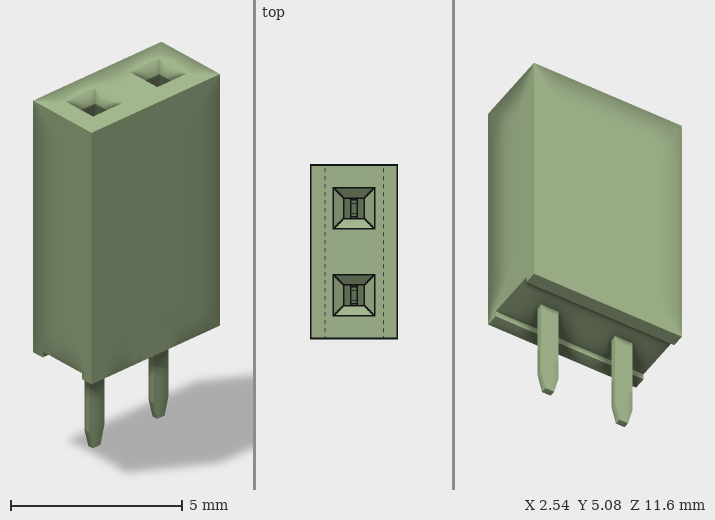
import cadquery as cq


PITCH = 2.54
POSITIONS = 2
BODY_WIDTH = PITCH
BODY_LENGTH = PITCH * POSITIONS
BODY_HEIGHT = 8.5
CHANNEL_WIDTH = 1.7
CHANNEL_HEIGHT = 0.2

FUNNEL_MOUTH = 1.2
BORE_SIZE = 0.6
FUNNEL_DEPTH = (FUNNEL_MOUTH - BORE_SIZE) / 2
BORE_FLOOR_Z = 2.5
SLOT_FLOOR_LENGTH = 0.49
SLOT_DEPTH = (BORE_SIZE - SLOT_FLOOR_LENGTH) / 2

PIN_THICKNESS = 0.2
PIN_WIDTH = 0.6
PIN_TIP_WIDTH = 0.3
PIN_TAPER_LENGTH = 0.6
PIN_PROJECTION = 3.1

position_centres = [(i - (POSITIONS - 1) / 2) * PITCH for i in range(POSITIONS)]


def make_body():
    """Rectangular block with a channel along Y that leaves two feet underneath."""
    block = cq.Workplane("XY").box(BODY_WIDTH, BODY_LENGTH, BODY_HEIGHT, centered=(True, True, False))
    channel = cq.Workplane("XY").box(CHANNEL_WIDTH, BODY_LENGTH, CHANNEL_HEIGHT, centered=(True, True, False))
    return block.cut(channel)


def make_flat_taper(top_z, top_width, bottom_z, bottom_width):
    """Strip of pin thickness, centred on Z, whose Y width changes linearly along Z."""
    return (
        cq.Workplane("YZ")
        .polyline([
            (-top_width / 2, top_z),
            (top_width / 2, top_z),
            (bottom_width / 2, bottom_z),
            (-bottom_width / 2, bottom_z),
        ])
        .close()
        .extrude(PIN_THICKNESS / 2, both=True)
    )


def make_socket_cavity():
    """Square funnel, square bore, and a narrow slot with sloping ends in the bore floor."""
    funnel = (
        cq.Workplane("XY", origin=(0, 0, BODY_HEIGHT))
        .rect(FUNNEL_MOUTH, FUNNEL_MOUTH)
        .workplane(offset=-FUNNEL_DEPTH)
        .rect(BORE_SIZE, BORE_SIZE)
        .loft(ruled=True)
    )
    bore_depth = BODY_HEIGHT - FUNNEL_DEPTH - BORE_FLOOR_Z
    bore = (
        cq.Workplane("XY", origin=(0, 0, BORE_FLOOR_Z))
        .rect(BORE_SIZE, BORE_SIZE)
        .extrude(bore_depth)
    )
    slot = make_flat_taper(BORE_FLOOR_Z, BORE_SIZE, BORE_FLOOR_Z - SLOT_DEPTH, SLOT_FLOOR_LENGTH)
    return funnel.union(bore).union(slot)


def make_pin():
    """Flat pin from the channel roof down, narrowing to a blunt tip."""
    taper_top_z = PIN_TAPER_LENGTH - PIN_PROJECTION
    shank = make_flat_taper(CHANNEL_HEIGHT, PIN_WIDTH, taper_top_z, PIN_WIDTH)
    tip = make_flat_taper(taper_top_z, PIN_WIDTH, -PIN_PROJECTION, PIN_TIP_WIDTH)
    return shank.union(tip)


result = make_body()
for centre_y in position_centres:
    offset = (0, centre_y, 0)
    result = result.cut(make_socket_cavity().translate(offset))
    result = result.union(make_pin().translate(offset))